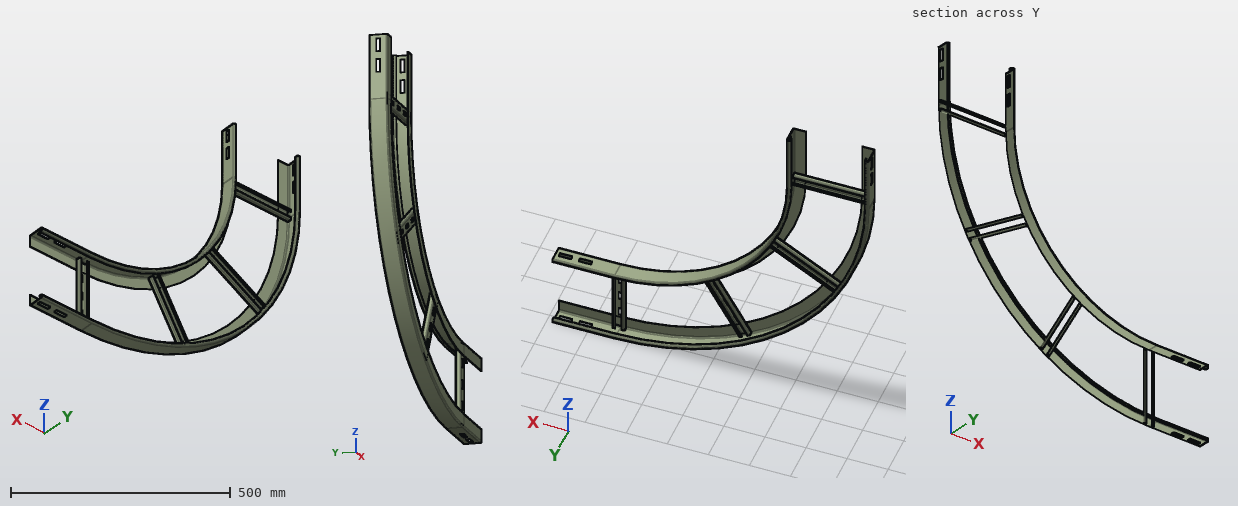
import cadquery as cq
import math


OVERALL = 770.0
LADDER_WIDTH = 200.0
LEG_LENGTH = 150.0
RAIL_HEIGHT = 45.0
SHEET = 2.0
RAIL_FOLD_RADIUS = 4.0

FRONT_FLANGE = 31.5
BACK_FLANGE = 10.0
BACK_LIP = 10.0

RAIL_SLOT_LENGTH = 30.0
RAIL_SLOT_WIDTH = 9.0
RAIL_SLOT_PITCH = 48.5
RAIL_SLOT_END_GAP = 9.0
RAIL_SLOT_COUNT = 2

RUNG_LENGTH = 190.0
RUNG_WIDTH = 31.0
RUNG_DEPTH = 14.0
RUNG_LIP = 8.0
RUNG_FOLD_RADIUS = 3.0
RUNG_COUNT = 4
RUNG_SLOT_LENGTH = 20.0
RUNG_SLOT_WIDTH = 8.0
RUNG_SLOT_PITCH = 50.0
RUNG_SLOT_COUNT = 3

BEND_ANGLE = 90.0
OUTER_RADIUS = OVERALL - LEG_LENGTH
INNER_RADIUS = OUTER_RADIUS - LADDER_WIDTH
SLOT_CUTTER_DEPTH = 4 * SHEET
RUNG_MIDDLE = (OUTER_RADIUS + INNER_RADIUS) / 2

Y_AXIS = ((0, 0, 0), (0, 1, 0))


def toward(start, end, distance):
    """The point at a distance from start on the way to end."""
    share = distance / math.dist(start, end)
    return tuple(a + (b - a) * share for a, b in zip(start, end))


def rounded_run(sketch, corners, radius):
    """Continue an outline from the first corner to the last, rounding each square corner between."""
    for before, corner, after in zip(corners, corners[1:], corners[2:]):
        arc_start = toward(corner, before, radius)
        arc_end = toward(corner, after, radius)
        center = tuple(s + e - c for s, e, c in zip(arc_start, arc_end, corner))
        sketch = sketch.lineTo(*arc_start)
        sketch = sketch.threePointArc(toward(center, corner, radius), arc_end)
    return sketch.lineTo(*corners[-1])


def folded_sheet(plane, outside, inside, fold_radius):
    """Closed section of a folded sheet, from the square corners of its outside and inside."""
    sketch = cq.Workplane(plane).moveTo(*outside[0])
    sketch = rounded_run(sketch, outside, fold_radius)
    sketch = sketch.lineTo(*inside[-1])
    sketch = rounded_run(sketch, inside[::-1], fold_radius - SHEET)
    return sketch.close()


def rail_section(web_radius, opening):
    """C section of a rail at the start of the bend; opening is +1 toward the Y axis, -1 away."""
    lip_end = RAIL_HEIGHT - BACK_LIP
    outside = [(FRONT_FLANGE, 0), (0, 0), (0, RAIL_HEIGHT), (BACK_FLANGE, RAIL_HEIGHT), (BACK_FLANGE, lip_end)]
    inside = [
        (FRONT_FLANGE, SHEET),
        (SHEET, SHEET),
        (SHEET, RAIL_HEIGHT - SHEET),
        (BACK_FLANGE - SHEET, RAIL_HEIGHT - SHEET),
        (BACK_FLANGE - SHEET, lip_end),
    ]

    def placed(corners):
        return [(opening * depth - web_radius, y) for depth, y in corners]

    return folded_sheet("XY", placed(outside), placed(inside), RAIL_FOLD_RADIUS)


def rail_slots(web_radius):
    """Cutters for the slots in the web of the leg that points toward +Z."""
    first = LEG_LENGTH - RAIL_SLOT_END_GAP - RAIL_SLOT_LENGTH / 2
    places = [(-web_radius, RAIL_HEIGHT / 2, first - i * RAIL_SLOT_PITCH) for i in range(RAIL_SLOT_COUNT)]
    return cq.Workplane("XY").pushPoints(places).box(SLOT_CUTTER_DEPTH, RAIL_SLOT_WIDTH, RAIL_SLOT_LENGTH)


def make_rail(web_radius, opening):
    """A rail: a quarter bend with a slotted straight leg at each end."""
    section = rail_section(web_radius, opening)
    slots = rail_slots(web_radius)
    top_leg = section.extrude(LEG_LENGTH).cut(slots)
    side_leg = top_leg.mirror("XY").rotate(*Y_AXIS, -BEND_ANGLE)
    bend = rail_section(web_radius, opening).revolve(BEND_ANGLE, (0, 0), (0, -1))
    return bend.union(top_leg, clean=False).union(side_leg, clean=False)


def make_rung(angle):
    """A lipped channel rung lying on the inside of the front flanges, turned about the Y axis."""
    half = RUNG_WIDTH / 2
    lip_end = half - RUNG_LIP
    front = SHEET
    back = front + RUNG_DEPTH
    outside = [(-lip_end, back), (-half, back), (-half, front), (half, front), (half, back), (lip_end, back)]
    inside = [
        (-lip_end, back - SHEET),
        (-half + SHEET, back - SHEET),
        (-half + SHEET, front + SHEET),
        (half - SHEET, front + SHEET),
        (half - SHEET, back - SHEET),
        (lip_end, back - SHEET),
    ]
    inner_end = cq.Plane.named("ZY", origin=(RUNG_LENGTH / 2 - RUNG_MIDDLE, 0, 0))
    channel = folded_sheet(inner_end, outside, inside, RUNG_FOLD_RADIUS).extrude(RUNG_LENGTH)

    middle_slot = (RUNG_SLOT_COUNT - 1) / 2
    places = [(-RUNG_MIDDLE + (i - middle_slot) * RUNG_SLOT_PITCH, front, 0) for i in range(RUNG_SLOT_COUNT)]
    slots = cq.Workplane("XY").pushPoints(places).box(RUNG_SLOT_LENGTH, SLOT_CUTTER_DEPTH, RUNG_SLOT_WIDTH)
    return channel.cut(slots).rotate(*Y_AXIS, -angle)


outer_rail = make_rail(OUTER_RADIUS, 1)
inner_rail = make_rail(INNER_RADIUS, -1)
rungs = [make_rung(i * BEND_ANGLE / (RUNG_COUNT - 1)) for i in range(RUNG_COUNT)]

result = cq.Compound.makeCompound([outer_rail.val(), inner_rail.val(), *[rung.val() for rung in rungs]])